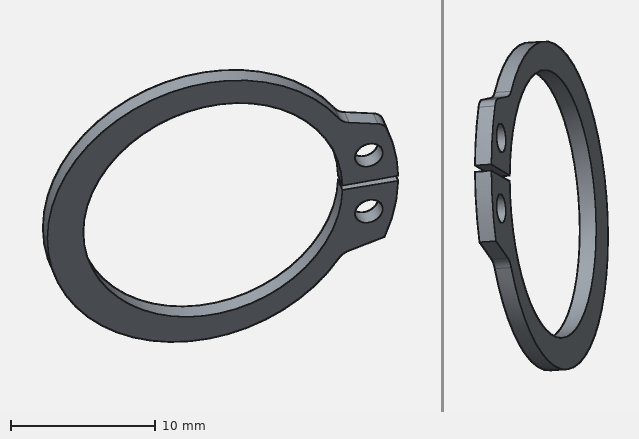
import cadquery as cq
import math

thickness = 1.2
outer_radius = 11.4
bore_radius = 9.3
overall_length = 25.2

lug_hole_diameter = 2.0
lug_hole_y = 11.2
lug_hole_z = 2.5
lug_corner_z = 5.01
lug_side_angle = 15.0
lug_root_y = 7.55
lug_corner_fillet = 1.0
neck_fillet = 1.25

gap_tip_width = 0.45
gap_bore_width = 0.38
gap_start_y = 9.07

outer_center_y = -0.5
lug_tip_radius = overall_length + outer_center_y - outer_radius
lug_corner_y = math.sqrt(lug_tip_radius**2 - lug_corner_z**2)
lug_side_drop = (lug_corner_y - lug_root_y) * math.tan(math.radians(lug_side_angle))
lug_root_z = lug_corner_z + lug_side_drop

def disc(center_y, center_z, radius):
    """Disc through the full thickness, centred on X = 0."""
    return (
        cq.Workplane("YZ")
        .center(center_y, center_z)
        .circle(radius)
        .extrude(thickness / 2, both=True)
    )

def lug_blank():
    """Both lugs in one piece, with a tip arc concentric with the bore."""
    return (
        cq.Workplane("YZ")
        .moveTo(lug_root_y, -lug_root_z)
        .lineTo(lug_corner_y, -lug_corner_z)
        .threePointArc((lug_tip_radius, 0), (lug_corner_y, lug_corner_z))
        .lineTo(lug_root_y, lug_root_z)
        .close()
        .extrude(thickness / 2, both=True)
    )

def neck_point(side):
    """Where a lug side meets the outside circle; side is +1 or -1 along Z."""
    angle = math.radians(lug_side_angle)
    along_y = -math.cos(angle)
    along_z = math.sin(angle)
    from_center_y = lug_corner_y - outer_center_y
    half_b = from_center_y * along_y + lug_corner_z * along_z
    c = from_center_y**2 + lug_corner_z**2 - outer_radius**2
    distance = -half_b - math.sqrt(half_b**2 - c)
    return (0, lug_corner_y + distance * along_y, side * (lug_corner_z + distance * along_z))

def gap_cutter():
    """Wedge that separates the lugs."""
    return (
        cq.Workplane("YZ")
        .polyline([
            (gap_start_y, -gap_bore_width / 2),
            (lug_tip_radius, -gap_tip_width / 2),
            (lug_tip_radius, gap_tip_width / 2),
            (gap_start_y, gap_bore_width / 2),
        ])
        .close()
        .extrude(thickness, both=True)
    )

ring = disc(outer_center_y, 0, outer_radius).union(lug_blank())
for side in (1, -1):
    ring = ring.edges(cq.selectors.NearestToPointSelector(neck_point(side))).fillet(neck_fillet)
upper_corner = (0, lug_corner_y, lug_corner_z)
ring = ring.edges(cq.selectors.NearestToPointSelector(upper_corner)).fillet(lug_corner_fillet)

ring = ring.cut(disc(0, 0, bore_radius))
for side in (1, -1):
    ring = ring.cut(disc(lug_hole_y, side * lug_hole_z, lug_hole_diameter / 2))

result = ring.cut(gap_cutter())